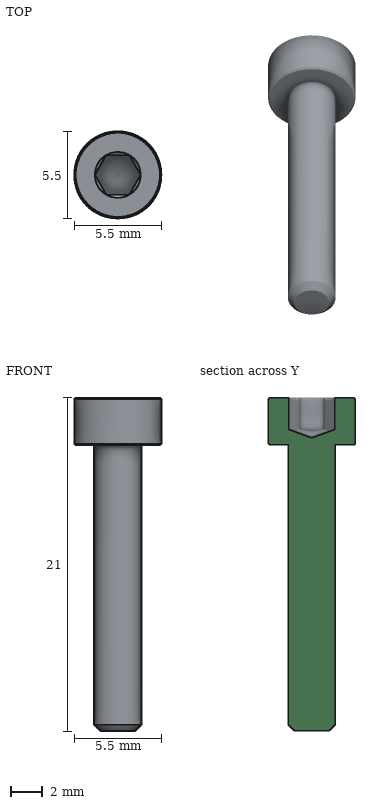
import cadquery as cq
import math

total_length = 21.0
head_diameter = 5.5
head_height = 3.0
head_top_chamfer = 0.1
head_bottom_chamfer = 0.1
shank_diameter = 3.0
tip_chamfer = 0.42
hex_across_flats = 2.5
socket_depth = 2.0
mouth_half_angle = 45.0
drill_half_angle = 70.0

shank_length = total_length - head_height
hex_across_corners = hex_across_flats / math.cos(math.pi / 6)


def make_head():
    head = cq.Workplane("XY").circle(head_diameter / 2).extrude(head_height)
    head = head.faces(">Z").chamfer(head_top_chamfer)
    return head.faces("<Z").chamfer(head_bottom_chamfer)


def make_shank():
    shank = cq.Workplane("XY").circle(shank_diameter / 2).extrude(-shank_length)
    return shank.faces("<Z").chamfer(tip_chamfer)


def make_cone(radius, half_angle, base_height):
    """Cone pointing down the axis, with its base at base_height."""
    depth = radius / math.tan(math.radians(half_angle))
    profile = cq.Workplane("XZ").moveTo(0, base_height).lineTo(radius, base_height)
    return profile.lineTo(0, base_height - depth).close().revolve(360, (0, 0, 0), (0, 1, 0))


def make_socket():
    floor_height = head_height - socket_depth
    corner_radius = hex_across_corners / 2
    hexagon = cq.Workplane("XY").polygon(6, hex_across_corners).extrude(head_height)
    bore = (
        cq.Workplane("XY")
        .workplane(offset=floor_height)
        .circle(corner_radius)
        .extrude(socket_depth)
    )
    drilled_bore = bore.union(make_cone(corner_radius, drill_half_angle, floor_height))
    mouth = make_cone(corner_radius, mouth_half_angle, head_height)
    return hexagon.intersect(drilled_bore).union(mouth)


result = make_head().union(make_shank()).cut(make_socket())